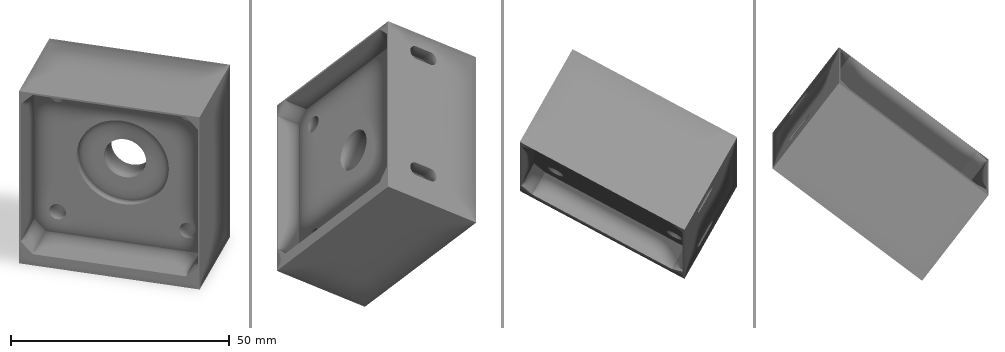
import cadquery as cq

width = 43.0
depth = 25.0
height = 45.5
top_z = width / 2
bottom_z = top_z - height

pocket_size = 42.1
pocket_chamfer = 2.83
front_pocket_depth = 11.0
web_thickness = 8.0
web_front_y = front_pocket_depth
web_rear_y = web_front_y + web_thickness

bore_diameter = 10.0
recess_diameter = 22.0
recess_depth = 2.0

screw_diameter = 4.0
screw_spacing = 31.0

slot_length = 7.4
slot_height = 3.4
slot_depth = 3.5
slot_spacing = 32.0
slot_y = web_front_y + web_thickness / 2


def front_plane(y):
    """Plane facing -Y, so that positive extrusions run toward -Y."""
    return cq.Workplane("XZ", origin=(0, y, 0))


def make_block():
    block_center_z = (top_z + bottom_z) / 2
    return front_plane(0).center(0, block_center_z).rect(width, height).extrude(-depth)


def make_pocket(start_y, end_y):
    pocket = front_plane(start_y).rect(pocket_size, pocket_size).extrude(start_y - end_y)
    return pocket.edges("|Y").chamfer(pocket_chamfer)


def make_recess():
    return front_plane(web_front_y).circle(recess_diameter / 2).extrude(-recess_depth)


def make_bore():
    return front_plane(0).circle(bore_diameter / 2).extrude(-depth)


def make_screw_holes():
    pattern = front_plane(0).rect(screw_spacing, screw_spacing, forConstruction=True).vertices()
    return pattern.circle(screw_diameter / 2).extrude(-depth)


def make_side_slots():
    side = cq.Workplane("YZ", origin=(-width / 2, slot_y, 0))
    pattern = side.rarray(1, slot_spacing, 1, 2)
    return pattern.slot2D(slot_length, slot_height).extrude(slot_depth)


result = (
    make_block()
    .cut(make_pocket(0, web_front_y))
    .cut(make_pocket(web_rear_y, depth))
    .cut(make_recess())
    .cut(make_bore())
    .cut(make_screw_holes())
    .cut(make_side_slots())
)